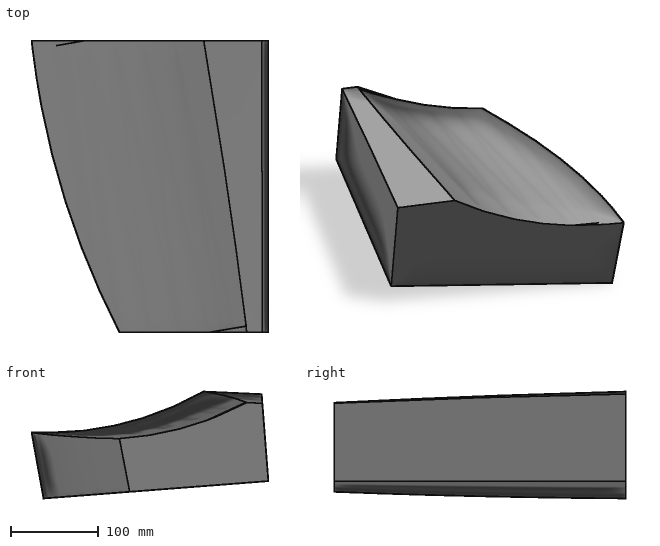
import math

import cadquery as cq

LENGTH = 332.5
OVERALL_WIDTH = 270.02
BASE_TILT = 4.42
BASE_WIDTH_BACK = 257.13
BASE_WIDTH_FRONT = 158.6
STOCK_HEIGHT = 130.0

WALL_RADIUS = 945.0
WALL_DRAFT = 5.8

TROUGH_RADIUS = 350.0
TROUGH_YAW = 10.0
TROUGH_PITCH = 1.29
TROUGH_BOTTOM_X = 76.0
TROUGH_BOTTOM_Z = 67.6
LEDGE_OFFSET = 10.0
TROUGH_SIDE = 220.0
TROUGH_LENGTH = 351.5
BACK_FACET_INSET = 5.6
BACK_FACET_START = 4.0
CLEARANCE = 150.0

LAND_BACK_EDGE_Z = 119.07
LAND_CROSS_SLOPE = 0.0456
LAND_LONG_SLOPE = 0.0316
LAND_CROWN = 1.1
LAND_OFFSET = 168.5
LAND_EDGE_X = 262.4

SLAB_SIZE = 4 * LENGTH


def make_base_plane():
    """Tilted base plane with its origin at the foot of the right wall."""
    tilt = math.radians(BASE_TILT)
    foot_height = BASE_WIDTH_BACK * math.sin(tilt)
    return cq.Plane(
        origin=(OVERALL_WIDTH, 0, foot_height),
        xDir=(math.cos(tilt), 0, math.sin(tilt)),
        normal=(-math.sin(tilt), 0, math.cos(tilt)),
    )


def make_block():
    """Rectangular stock trimmed by the flared circular wall on the left."""
    base = make_base_plane()
    stock_width = BASE_WIDTH_BACK + CLEARANCE
    stock = (
        cq.Workplane(base)
        .rect(-stock_width, LENGTH, centered=False)
        .extrude(STOCK_HEIGHT)
    )

    width_change = BASE_WIDTH_BACK - BASE_WIDTH_FRONT
    chord = math.hypot(width_change, LENGTH)
    center_distance = math.sqrt(WALL_RADIUS**2 - (chord / 2) ** 2)
    center_x = -(BASE_WIDTH_BACK + BASE_WIDTH_FRONT) / 2 + center_distance * LENGTH / chord
    center_y = LENGTH / 2 + center_distance * width_change / chord
    wall = (
        cq.Workplane(base)
        .center(center_x, center_y)
        .circle(WALL_RADIUS)
        .extrude(STOCK_HEIGHT, taper=-WALL_DRAFT)
    )
    return stock.intersect(wall)


def arc_height(offset):
    """Height of the trough arc above its lowest line."""
    return TROUGH_RADIUS - math.sqrt(TROUGH_RADIUS**2 - offset**2)


LEDGE_HEIGHT = arc_height(LEDGE_OFFSET)


def make_section_plane(reach):
    """Plane across the trough, its origin on the lowest line.

    The reach is measured along the lowest line, back from the front face.
    """
    yaw = math.radians(TROUGH_YAW)
    pitch = math.radians(TROUGH_PITCH)
    forward = cq.Vector(
        math.sin(yaw) * math.cos(pitch),
        -math.cos(yaw) * math.cos(pitch),
        -math.sin(pitch),
    )
    lowest_front = cq.Vector(TROUGH_BOTTOM_X, 0, TROUGH_BOTTOM_Z)
    return cq.Plane(
        origin=(lowest_front - forward * reach).toTuple(),
        xDir=(math.cos(yaw), math.sin(yaw), 0),
        normal=forward.toTuple(),
    )


def trough_point(offset, y, height):
    """Point at a sideways offset and height over the lowest line, near the given Y."""
    yaw = math.radians(TROUGH_YAW)
    reach = (y - offset * math.sin(yaw)) / math.cos(yaw)
    return make_section_plane(reach).toWorldCoords((offset, height, 0))


def make_trough_cutter(start, end):
    """Everything above the ledge and the arc between two reaches along the trough."""
    middle = (LEDGE_OFFSET + TROUGH_SIDE) / 2
    return (
        cq.Workplane(make_section_plane(start))
        .moveTo(-CLEARANCE, LEDGE_HEIGHT)
        .lineTo(LEDGE_OFFSET, LEDGE_HEIGHT)
        .threePointArc((middle, arc_height(middle)), (TROUGH_SIDE, arc_height(TROUGH_SIDE)))
        .lineTo(TROUGH_SIDE, STOCK_HEIGHT)
        .lineTo(-CLEARANCE, STOCK_HEIGHT)
        .close()
        .extrude(start - end)
    )


def make_solid_below(corner, right, back):
    """Thick slab whose top passes through three points given counterclockwise."""
    across = right - corner
    plane = cq.Plane(
        origin=corner.toTuple(),
        xDir=across.toTuple(),
        normal=across.cross(back - corner).toTuple(),
    )
    return cq.Workplane(plane).rect(SLAB_SIZE, SLAB_SIZE).extrude(-STOCK_HEIGHT)


def make_back_corner_cutter(trough_end):
    """Trough continued to the back face over a flat corner facet beside the ledge."""
    facet_run = BACK_FACET_INSET / math.sin(math.radians(TROUGH_YAW))
    facet_end = LEDGE_OFFSET + facet_run
    facet = make_solid_below(
        trough_point(LEDGE_OFFSET, LENGTH - BACK_FACET_INSET, LEDGE_HEIGHT),
        trough_point(facet_end, LENGTH, arc_height(facet_end)),
        trough_point(BACK_FACET_START, LENGTH, LEDGE_HEIGHT),
    )
    return make_trough_cutter(trough_end, trough_end + CLEARANCE).cut(facet)


def make_front_corner_cutter(trough_start):
    """Trough continued to the front face over a flat corner facet beside the land."""
    yaw = math.radians(TROUGH_YAW)
    facet_start = -trough_start / math.tan(yaw)
    facet = make_solid_below(
        trough_point(facet_start, 0, arc_height(facet_start)),
        trough_point(LAND_OFFSET, 0, arc_height(LAND_OFFSET)),
        trough_point(LAND_OFFSET, LENGTH, arc_height(LAND_OFFSET)),
    )
    return make_trough_cutter(trough_start - CLEARANCE, trough_start).cut(facet)


def cut_trough(body):
    """Cut the finite trough and its shallower continuation at both ends."""
    yaw = math.radians(TROUGH_YAW)
    ledge_end_y = LENGTH - BACK_FACET_INSET
    trough_end = (ledge_end_y - LEDGE_OFFSET * math.sin(yaw)) / math.cos(yaw)
    trough_start = trough_end - TROUGH_LENGTH
    body = body.cut(make_trough_cutter(trough_start, trough_end))
    body = body.cut(make_back_corner_cutter(trough_end))
    return body.cut(make_front_corner_cutter(trough_start))


def make_land_cutter():
    """Everything above the slightly crowned land, swept along its cross slope."""
    front_z = LAND_BACK_EDGE_Z - LAND_LONG_SLOPE * LENGTH
    chord_middle_z = (front_z + LAND_BACK_EDGE_Z) / 2
    profile_plane = cq.Plane(
        origin=(LAND_EDGE_X, 0, 0),
        xDir=(0, 1, 0),
        normal=(1, 0, 0),
    )
    path = cq.Vector(1, 0, -LAND_CROSS_SLOPE) * OVERALL_WIDTH
    profile = (
        cq.Workplane(profile_plane)
        .moveTo(0, front_z)
        .threePointArc((LENGTH / 2, chord_middle_z + LAND_CROWN), (LENGTH, LAND_BACK_EDGE_Z))
        .lineTo(LENGTH, 2 * STOCK_HEIGHT)
        .lineTo(0, 2 * STOCK_HEIGHT)
        .close()
        .wire()
        .val()
    )
    start_profile = profile.translate(path * -1)
    end_profile = profile.translate(path)
    return cq.Workplane(cq.Solid.makeLoft([start_profile, end_profile], True))


result = cut_trough(make_block().cut(make_land_cutter()))